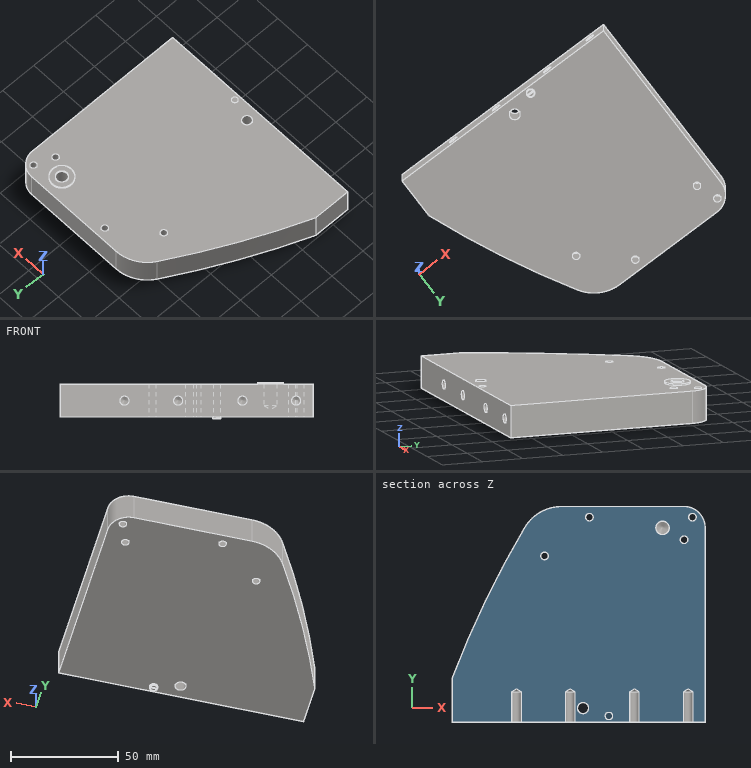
import cadquery as cq
import math

PLATE_LENGTH = 118.0
PLATE_WIDTH = 100.7
PLATE_THICKNESS = 15.5
LEFT_EDGE_HEIGHT = 20.6
FLANK_TOP_X = 33.7
FLANK_TOP_Y = 90.7
FLANK_BULGE = 1.7
CORNER_RADIUS = 10.0
TOP_EDGE_START_X = 51.1

SMALL_HOLE_DIAMETER = 3.4
SMALL_HOLE_CENTERS = [(43.1, 77.5), (64.0, 95.6), (112.0, 95.6), (108.1, 85.1)]
LARGE_HOLE_DIAMETER = 5.1
LARGE_HOLE_CENTER = (61.0, 6.6)

DRILL_POINT_ANGLE = 118.0
SIDE_HOLE_DIAMETER = 4.2
SIDE_HOLE_DEPTH = 14.2
SIDE_HOLE_XS = [30.0, 55.0, 85.0, 110.0]

RING_CENTER = (98.0, 90.6)
RING_DIAMETER = 12.2
RING_HEIGHT = 0.7
BORE_DIAMETER = 6.1
BORE_DEPTH = 10.0

PIN_CENTER = (73.0, 3.0)
PIN_DIAMETER = 3.2
PIN_HEAD_DIAMETER = 4.0
PIN_HEAD_HEIGHT = 0.8
PIN_HEAD_CHAMFER = 0.4
PIN_SLOT_WIDTH = 0.5
PIN_SLOT_DEPTH = 0.7


def drill(diameter, depth):
    """Drill shape entering along +Z from the origin, with a conical tip past the given depth."""
    radius = diameter / 2
    tip = radius / math.tan(math.radians(DRILL_POINT_ANGLE / 2))
    return (
        cq.Workplane("XZ")
        .polyline([(0, 0), (radius, 0), (radius, depth), (0, depth + tip)])
        .close()
        .revolve(360, (0, 0), (0, 1))
    )


def plate_blank():
    """Plate with a convex left flank and two rounded upper corners."""
    flank_rise = FLANK_TOP_Y - LEFT_EDGE_HEIGHT
    flank_chord = math.hypot(FLANK_TOP_X, flank_rise)
    flank_middle = (
        FLANK_TOP_X / 2 - FLANK_BULGE * flank_rise / flank_chord,
        (LEFT_EDGE_HEIGHT + FLANK_TOP_Y) / 2 + FLANK_BULGE * FLANK_TOP_X / flank_chord,
    )
    return (
        cq.Workplane("XY")
        .moveTo(0, 0)
        .lineTo(0, LEFT_EDGE_HEIGHT)
        .threePointArc(flank_middle, (FLANK_TOP_X, FLANK_TOP_Y))
        .tangentArcPoint((TOP_EDGE_START_X, PLATE_WIDTH), relative=False)
        .lineTo(PLATE_LENGTH - CORNER_RADIUS, PLATE_WIDTH)
        .radiusArc((PLATE_LENGTH, PLATE_WIDTH - CORNER_RADIUS), CORNER_RADIUS)
        .lineTo(PLATE_LENGTH, 0)
        .close()
        .extrude(PLATE_THICKNESS)
    )


def through_hole(center, diameter):
    return cq.Workplane("XY").center(*center).circle(diameter / 2).extrude(PLATE_THICKNESS)


def make_plate():
    plate = plate_blank()
    for center in SMALL_HOLE_CENTERS:
        plate = plate.cut(through_hole(center, SMALL_HOLE_DIAMETER))
    plate = plate.cut(through_hole(LARGE_HOLE_CENTER, LARGE_HOLE_DIAMETER))
    plate = plate.cut(through_hole(PIN_CENTER, PIN_DIAMETER))

    side_drill = drill(SIDE_HOLE_DIAMETER, SIDE_HOLE_DEPTH).rotate((0, 0, 0), (1, 0, 0), -90)
    for x in SIDE_HOLE_XS:
        plate = plate.cut(side_drill.translate((x, 0, PLATE_THICKNESS / 2)))

    bore = drill(BORE_DIAMETER, BORE_DEPTH).rotate((0, 0, 0), (1, 0, 0), 180)
    return plate.cut(bore.translate((*RING_CENTER, PLATE_THICKNESS)))


def make_ring():
    return (
        cq.Workplane("XY", origin=(*RING_CENTER, PLATE_THICKNESS))
        .circle(RING_DIAMETER / 2)
        .circle(BORE_DIAMETER / 2)
        .extrude(RING_HEIGHT)
    )


def make_pin():
    shank = cq.Workplane("XY").circle(PIN_DIAMETER / 2).extrude(PLATE_THICKNESS)
    head = (
        cq.Workplane("XY")
        .circle(PIN_HEAD_DIAMETER / 2)
        .extrude(-PIN_HEAD_HEIGHT)
        .faces("<Z")
        .chamfer(PIN_HEAD_CHAMFER)
    )
    slot = (
        cq.Workplane("XY", origin=(0, 0, -PIN_HEAD_HEIGHT))
        .rect(PIN_HEAD_DIAMETER, PIN_SLOT_WIDTH)
        .extrude(PIN_SLOT_DEPTH)
    )
    return shank.union(head.cut(slot)).translate((*PIN_CENTER, 0))


plate = make_plate()
ring = make_ring()
pin = make_pin()
result = cq.Compound.makeCompound([plate.val(), ring.val(), pin.val()])